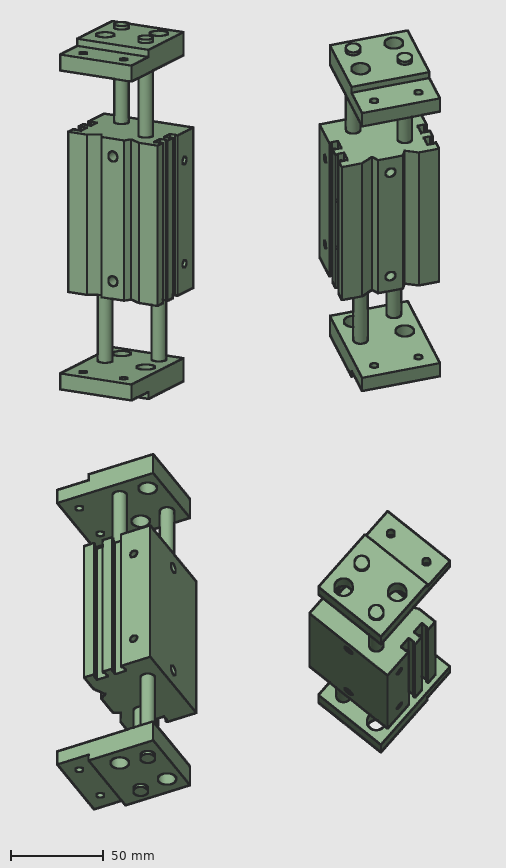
import cadquery as cq
import math

TOTAL_HEIGHT = 200.0

BODY_WIDTH = 55.0
BODY_DEPTH = 40.0
BODY_HEIGHT = 90.0

GROOVE_INNER_X = 7.0
GROOVE_BOTTOM_X = 9.2
GROOVE_OUTER_X = 16.0
GROOVE_DEPTH = 3.8

SLOT_YS = (8.5, 19.5)
SLOT_OPENING = 5.2
SLOT_INNER_WIDTH = 6.5
SLOT_LIP = 1.5
SLOT_DEPTH = 5.0

FRONT_HOLE_DIAMETER = 5.5
FRONT_HOLE_SPACING = 70.0
SIDE_HOLE_DIAMETER = 4.2
SIDE_HOLE_SPACING = 58.0
SIDE_HOLE_Y = 30.0
SIDE_HOLE_DEPTH = 10.0
DRILL_POINT_ANGLE = 118.0

PLATE_WIDTH = 44.0
PLATE_BACK_Y = 39.0
PLATE_FRONT_Y = -19.0
PLATE_THICKNESS = 13.0
PLATE_STEP = 4.0
PLATE_HOLE_DIAMETER = 4.2
PLATE_HOLE_SPACING = 25.0
PLATE_HOLE_Y = -10.5

ROD_DIAMETER = 8.0
ROD_CLEARANCE_DIAMETER = 10.0
ROD_PROTRUSION = 2.0
ROD_BACK_Y = 30.5
ROD_FRONT_Y = 14.0
ROD_SPACING = 24.0
ROD_SHIFT = 0.5
ROD_NEAR_X = ROD_SPACING / 2 - ROD_SHIFT
ROD_FAR_X = ROD_SPACING / 2 + ROD_SHIFT
UPPER_RODS = [(-ROD_NEAR_X, ROD_BACK_Y), (ROD_FAR_X, ROD_FRONT_Y)]
LOWER_RODS = [(ROD_NEAR_X, ROD_BACK_Y), (-ROD_FAR_X, ROD_FRONT_Y)]

PLATE_OUTER_Z = TOTAL_HEIGHT / 2 - ROD_PROTRUSION
PLATE_INNER_Z = PLATE_OUTER_Z - PLATE_THICKNESS
SIDES = (-1, 1)


def body_prism(outline):
    """Extrude a closed plan outline over the full body height."""
    return outline.extrude(BODY_HEIGHT / 2, both=True)


def front_groove(side):
    """Groove with a gentle outer flank and a steep inner flank."""
    points = [
        (side * GROOVE_INNER_X, 0),
        (side * GROOVE_BOTTOM_X, GROOVE_DEPTH),
        (side * GROOVE_OUTER_X, 0),
    ]
    return body_prism(cq.Workplane("XY").polyline(points).close())


def t_slot(side, y):
    """Slot whose narrow opening widens behind a thin lip."""
    face_x = side * BODY_WIDTH / 2
    lip_x = face_x - side * SLOT_LIP
    floor_x = face_x - side * SLOT_DEPTH
    half_opening = SLOT_OPENING / 2
    half_inner = SLOT_INNER_WIDTH / 2
    points = [
        (face_x, y - half_opening),
        (lip_x, y - half_opening),
        (lip_x, y - half_inner),
        (floor_x, y - half_inner),
        (floor_x, y + half_inner),
        (lip_x, y + half_inner),
        (lip_x, y + half_opening),
        (face_x, y + half_opening),
    ]
    return body_prism(cq.Workplane("XY").polyline(points).close())


def side_hole(side, z):
    """Blind hole entering along X and ending in a drill point."""
    radius = SIDE_HOLE_DIAMETER / 2
    face_x = side * BODY_WIDTH / 2
    wall_end_x = face_x - side * SIDE_HOLE_DEPTH
    tip_x = wall_end_x - side * radius / math.tan(math.radians(DRILL_POINT_ANGLE / 2))
    half_section = [(face_x, 0), (face_x, radius), (wall_end_x, radius), (tip_x, 0)]
    hole = cq.Workplane("XY").polyline(half_section).close().revolve(360, (0, 0), (1, 0))
    return hole.translate((0, SIDE_HOLE_Y, z))


def make_body():
    body = body_prism(cq.Workplane("XY").center(0, BODY_DEPTH / 2).rect(BODY_WIDTH, BODY_DEPTH))
    for side in SIDES:
        body = body.cut(front_groove(side))
        for y in SLOT_YS:
            body = body.cut(t_slot(side, y))
        for level in SIDES:
            body = body.cut(side_hole(side, level * SIDE_HOLE_SPACING / 2))
    front_holes = (
        cq.Workplane("XZ")
        .rarray(2, FRONT_HOLE_SPACING, 1, 2)
        .circle(FRONT_HOLE_DIAMETER / 2)
        .extrude(-BODY_DEPTH)
    )
    return body.cut(front_holes)


def make_plate(end, clearance_points):
    """End plate: end is +1 for the top and -1 for the bottom."""
    inner_z = end * PLATE_INNER_Z
    outer_z = end * PLATE_OUTER_Z
    step_z = outer_z - end * PLATE_STEP
    side_profile = [
        (PLATE_BACK_Y, inner_z),
        (PLATE_BACK_Y, outer_z),
        (0, outer_z),
        (0, step_z),
        (PLATE_FRONT_Y, step_z),
        (PLATE_FRONT_Y, inner_z),
    ]
    plate = cq.Workplane("YZ").polyline(side_profile).close().extrude(PLATE_WIDTH / 2, both=True)
    floor = cq.Workplane("XY").workplane(offset=inner_z)
    mounting_holes = (
        floor.center(0, PLATE_HOLE_Y)
        .rarray(PLATE_HOLE_SPACING, 2, 2, 1)
        .circle(PLATE_HOLE_DIAMETER / 2)
        .extrude(end * PLATE_THICKNESS)
    )
    clearance_holes = (
        floor.pushPoints(clearance_points)
        .circle(ROD_CLEARANCE_DIAMETER / 2)
        .extrude(end * PLATE_THICKNESS)
    )
    return plate.cut(mounting_holes).cut(clearance_holes)


def make_rods(end, points):
    """Rods from the end face of the body through the end plate."""
    body_end = cq.Workplane("XY").workplane(offset=end * BODY_HEIGHT / 2)
    rod_length = (TOTAL_HEIGHT - BODY_HEIGHT) / 2
    return body_end.pushPoints(points).circle(ROD_DIAMETER / 2).extrude(end * rod_length)


result = make_body()
for end, rods, opposite_rods in ((1, UPPER_RODS, LOWER_RODS), (-1, LOWER_RODS, UPPER_RODS)):
    result = result.union(make_rods(end, rods)).union(make_plate(end, opposite_rods))